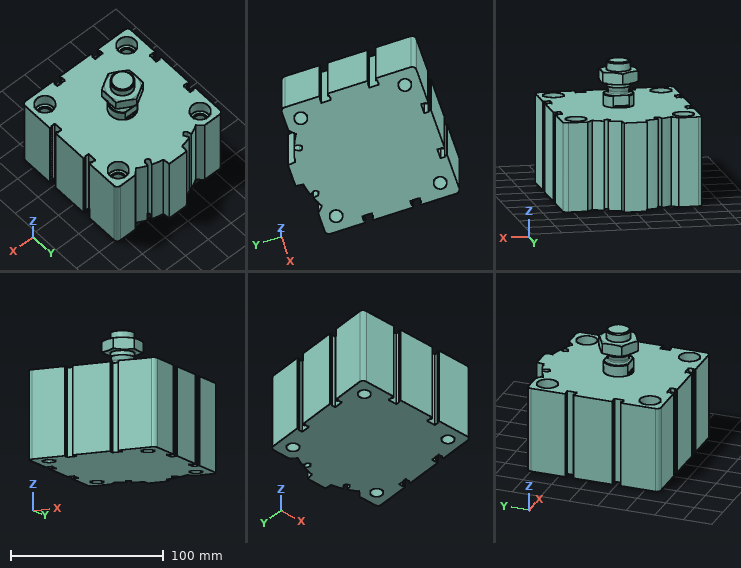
import cadquery as cq
import math

BODY_WIDTH = 93.0
BODY_HEIGHT = 60.0
TOTAL_DEPTH = 101.0
HALF_WIDTH = BODY_WIDTH / 2
TAB_TOP_Y = TOTAL_DEPTH - HALF_WIDTH
CORNER_RADIUS = 3.0

CROWN_RADIUS = 50.0
RELIEF_HALF_WIDTH = 30.4
TAB_TOP_HALF_WIDTH = 7.7
TAB_BASE_HALF_WIDTH = 8.3

KEYHOLE_ANGLE = 21.0
KEYHOLE_CENTER_RADIUS = 46.7
KEYHOLE_RADIUS = 1.9
KEYHOLE_MOUTH_WIDTH = 2.8

SLOT_OFFSET = 16.6
SLOT_MOUTH_WIDTH = 5.2
SLOT_INNER_WIDTH = 6.6
SLOT_DEPTH = 4.8
SLOT_LIP = 1.8
SLOT_EDGE_CHAMFER = 0.4

HOLE_SPACING = 71.9
HOLE_DIAMETER = 8.6
COUNTERBORE_DIAMETER = 13.9
COUNTERBORE_DEPTH = 9.3
COUNTERSINK_DIAMETER = 10.0

COLLAR_DIAMETER = 20.0
COLLAR_HEIGHT = 8.0
COLLAR_CHAMFER = 0.4
FLATS_WIDTH = 17.0
FLATS_START = 1.1
NECK_DIAMETER = 13.9
NECK_FILLET = 0.8
NECK_TOP = 10.2
THREAD_DIAMETER = 16.0
THREAD_START = 13.0
THREAD_CHAMFER = 0.8
ROD_HEIGHT = 30.0

NUT_ACROSS_FLATS = 24.0
NUT_HEIGHT = 8.0
NUT_START = 16.0
NUT_FACE_DIAMETER = 23.8
NUT_CHAMFER_ANGLE = 15.0


def point_on_crown(x):
    return x, math.sqrt(CROWN_RADIUS**2 - x**2)


def make_profile_block():
    """Square block whose +Y side carries the relief, the crown arc and the tab."""
    flank_offset = RELIEF_HALF_WIDTH - HALF_WIDTH
    relief_x = (flank_offset + math.sqrt(2 * CROWN_RADIUS**2 - flank_offset**2)) / 2
    arc_middle_x = (relief_x + TAB_BASE_HALF_WIDTH) / 2

    block = (
        cq.Workplane("XY")
        .moveTo(-HALF_WIDTH, -HALF_WIDTH)
        .lineTo(HALF_WIDTH, -HALF_WIDTH)
        .lineTo(HALF_WIDTH, HALF_WIDTH)
        .lineTo(RELIEF_HALF_WIDTH, HALF_WIDTH)
        .lineTo(*point_on_crown(relief_x))
        .threePointArc(point_on_crown(arc_middle_x), point_on_crown(TAB_BASE_HALF_WIDTH))
        .lineTo(TAB_TOP_HALF_WIDTH, TAB_TOP_Y)
        .lineTo(-TAB_TOP_HALF_WIDTH, TAB_TOP_Y)
        .lineTo(*point_on_crown(-TAB_BASE_HALF_WIDTH))
        .threePointArc(point_on_crown(-arc_middle_x), point_on_crown(-relief_x))
        .lineTo(-RELIEF_HALF_WIDTH, HALF_WIDTH)
        .lineTo(-HALF_WIDTH, HALF_WIDTH)
        .close()
        .extrude(BODY_HEIGHT)
    )
    corner_edges = block.edges("|Z and (<X or >X)")
    return corner_edges.fillet(CORNER_RADIUS)


def make_t_slot(offset):
    """T-slot cutter for the -Y side, centred at x = offset, with bevelled mouth edges."""
    mouth = SLOT_MOUTH_WIDTH / 2
    inner = SLOT_INNER_WIDTH / 2
    right_side = [
        (mouth + SLOT_EDGE_CHAMFER, 0),
        (mouth, SLOT_EDGE_CHAMFER),
        (mouth, SLOT_LIP),
        (inner, SLOT_LIP),
        (inner, SLOT_DEPTH),
    ]
    left_side = [(-x, y) for x, y in reversed(right_side)]
    return (
        cq.Workplane("XY", origin=(offset, -HALF_WIDTH, 0))
        .polyline(right_side + left_side)
        .close()
        .extrude(BODY_HEIGHT)
    )


def make_keyhole(angle):
    """Round-bottomed groove cutter on the +Y side, turned about the rod axis by the angle."""
    mouth = KEYHOLE_MOUTH_WIDTH / 2
    groove = (
        cq.Workplane("XY")
        .moveTo(mouth, CROWN_RADIUS)
        .lineTo(KEYHOLE_RADIUS, KEYHOLE_CENTER_RADIUS)
        .threePointArc(
            (0, KEYHOLE_CENTER_RADIUS - KEYHOLE_RADIUS),
            (-KEYHOLE_RADIUS, KEYHOLE_CENTER_RADIUS),
        )
        .lineTo(-mouth, CROWN_RADIUS)
        .close()
        .extrude(BODY_HEIGHT)
    )
    return groove.rotate((0, 0, 0), (0, 0, 1), angle)


def make_mounting_hole_cutter():
    """Through hole, 45 degree countersink and counterbore, turned about the Z axis."""
    hole = HOLE_DIAMETER / 2
    countersink = COUNTERSINK_DIAMETER / 2
    counterbore = COUNTERBORE_DIAMETER / 2
    floor = BODY_HEIGHT - COUNTERBORE_DEPTH
    return (
        cq.Workplane("XZ")
        .polyline(
            [
                (0, 0),
                (hole, 0),
                (hole, floor - (countersink - hole)),
                (countersink, floor),
                (counterbore, floor),
                (counterbore, BODY_HEIGHT),
                (0, BODY_HEIGHT),
            ]
        )
        .close()
        .revolve(360, (0, 0, 0), (0, 1, 0))
    )


def make_body():
    body = make_profile_block()

    for side_angle in (0, 90, -90):
        for offset in (-SLOT_OFFSET, SLOT_OFFSET):
            slot = make_t_slot(offset)
            body = body.cut(slot.rotate((0, 0, 0), (0, 0, 1), side_angle))

    for angle in (-KEYHOLE_ANGLE, KEYHOLE_ANGLE):
        body = body.cut(make_keyhole(angle))

    hole_cutter = make_mounting_hole_cutter()
    for x in (-HOLE_SPACING / 2, HOLE_SPACING / 2):
        for y in (-HOLE_SPACING / 2, HOLE_SPACING / 2):
            body = body.cut(hole_cutter.translate((x, y, 0)))
    return body


def make_rod_blank():
    """Turned rod: collar, filleted neck, cone and threaded end, standing on the body's top face."""
    collar = COLLAR_DIAMETER / 2
    neck = NECK_DIAMETER / 2
    thread = THREAD_DIAMETER / 2
    cone_angle = math.atan2(thread - neck, THREAD_START - NECK_TOP)

    root_center = (neck + NECK_FILLET, COLLAR_HEIGHT + NECK_FILLET)
    root_middle = (
        root_center[0] - NECK_FILLET * math.cos(math.pi / 4),
        root_center[1] - NECK_FILLET * math.sin(math.pi / 4),
    )

    blend_center = (neck + NECK_FILLET, NECK_TOP - NECK_FILLET * math.tan(cone_angle / 2))

    def blend_point(angle):
        return (
            blend_center[0] - NECK_FILLET * math.cos(angle),
            blend_center[1] + NECK_FILLET * math.sin(angle),
        )

    return (
        cq.Workplane("XZ", origin=(0, 0, BODY_HEIGHT))
        .moveTo(0, 0)
        .lineTo(collar, 0)
        .lineTo(collar, COLLAR_HEIGHT - COLLAR_CHAMFER)
        .lineTo(collar - COLLAR_CHAMFER, COLLAR_HEIGHT)
        .lineTo(root_center[0], COLLAR_HEIGHT)
        .threePointArc(root_middle, (neck, root_center[1]))
        .lineTo(*blend_point(0))
        .threePointArc(blend_point(cone_angle / 2), blend_point(cone_angle))
        .lineTo(thread, THREAD_START)
        .lineTo(thread, ROD_HEIGHT - THREAD_CHAMFER)
        .lineTo(thread - THREAD_CHAMFER, ROD_HEIGHT)
        .lineTo(0, ROD_HEIGHT)
        .close()
        .revolve(360, (0, 0, 0), (0, 1, 0))
    )


def make_rod():
    """Rod with two wrench flats, facing -Y and +Y, on the collar."""
    rod = make_rod_blank()
    flat_depth = (COLLAR_DIAMETER - FLATS_WIDTH) / 2
    flat_height = COLLAR_HEIGHT - FLATS_START
    flat_center_y = (FLATS_WIDTH + flat_depth) / 2
    flat_center_z = BODY_HEIGHT + FLATS_START + flat_height / 2
    for y in (-flat_center_y, flat_center_y):
        cutter = cq.Workplane("XY").box(COLLAR_DIAMETER, flat_depth, flat_height)
        rod = rod.cut(cutter.translate((0, y, flat_center_z)))
    return rod


def make_nut():
    """Hexagon nut with two flats facing -X and +X and conically chamfered corners."""
    across_corners = NUT_ACROSS_FLATS / math.cos(math.pi / 6)
    base = BODY_HEIGHT + NUT_START
    hexagon = (
        cq.Workplane("XY", origin=(0, 0, base))
        .polygon(6, across_corners)
        .extrude(NUT_HEIGHT)
        .rotate((0, 0, 0), (0, 0, 1), 90)
    )

    face = NUT_FACE_DIAMETER / 2
    corner = across_corners / 2
    drop = (corner - face) * math.tan(math.radians(NUT_CHAMFER_ANGLE))
    envelope = (
        cq.Workplane("XZ", origin=(0, 0, base))
        .polyline(
            [
                (0, 0),
                (face, 0),
                (corner, drop),
                (corner, NUT_HEIGHT - drop),
                (face, NUT_HEIGHT),
                (0, NUT_HEIGHT),
            ]
        )
        .close()
        .revolve(360, (0, 0, 0), (0, 1, 0))
    )
    bore = cq.Workplane("XY", origin=(0, 0, base)).circle(THREAD_DIAMETER / 2).extrude(NUT_HEIGHT)
    return hexagon.intersect(envelope).cut(bore)


body = make_body()
rod = make_rod()
nut = make_nut()

result = cq.Compound.makeCompound([body.solids().val(), rod.solids().val(), nut.solids().val()])